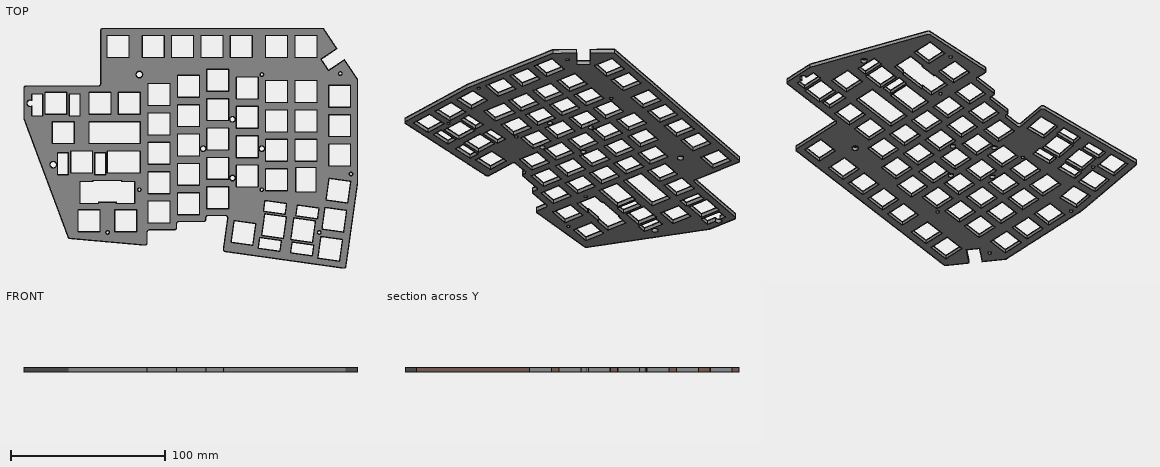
import cadquery as cq
import math


PLATE_WIDTH = 216.5
PLATE_DEPTH = 155.7
THICKNESS = 3.0
RIGHT_X = PLATE_WIDTH / 2
LEFT_X = -RIGHT_X
TOP_Y = PLATE_DEPTH / 2

PITCH = 19.0
CUTOUT = 14.0
HALF_CUTOUT = CUTOUT / 2

FINGER_X = 17.5
FINGER_COLUMNS = [
    (-2, -3.2, -2, 2),
    (-1, 2.2, -2, 2),
    (0, 6.0, -2, 2),
    (1, 1.0, -1, 2),
    (2, -1.3, -1, 2),
    (3, -1.3, 0, 2),
]
OUTER_COLUMN_X = 96.5
OUTER_COLUMN_Y = 14.7
OUTER_COLUMN_KEYS = 3

TALL_KEY_WIDTH = 13.0
TALL_KEY_HEIGHT = 15.8

TOP_ROW_X = 74.7
TOP_ROW_Y = 66.0
TOP_ROW_PITCHES = [0, 1, 2.2, 3.2, 4.2, 5.2, 6.4]

BLOCK_X = -39.8
BLOCK_Y = -8.9
BLOCK_KEYS = [
    (0, 2, 1),
    (1, 2, 1),
    (2.5, 2, 1),
    (0.5, 1, 2),
    (2.25, 1, 1),
    (0.1875, 0, 1.375),
    (1.625, 0, 1),
    (0.125, -2, 1),
    (1.375, -2, 1),
]
BLOCK_STABILIZED = [(2.5, 2), (1.625, 0)]

BAR_X = BLOCK_X - 0.75 * PITCH
BAR_Y = BLOCK_Y - PITCH
BAR_WIDTH = 35.3
BAR_CENTRE_WIDTH = 18.6
BAR_SIDE_GAP = 11.7
BAR_SIDE_DROP = 0.75

SLOT_WIDTH = 7.0
SLOT_SPREAD = 12.1
SLOT_DROP = 1.0

THUMB_X = 93.1
THUMB_Y = -46.3
THUMB_ANGLE = -8.0
THUMB_KEYS = [(0, 1), (0, 0), (0, -1), (-1, -0.5), (-2, -0.5), (-3, -0.875)]
THUMB_STABILIZED = [(-1, -0.5, 90), (-2, -0.5, -90)]
THUMB_LEFT = -68.6
THUMB_RIGHT = 11.7
THUMB_BOTTOM = -30.3

BOTTOM_MARGIN = 4.5
STEP_MARGIN = 0.6
CORNER_RADIUS = 1.5
SHELF_X = -58.5
SHELF_Y = 40.5
SLANT_TOP_Y = 19.3
BLOCK_CORNER = (-79.3, -58.5)
BLOCK_BOTTOM_Y = -63.0
BEVEL_TOP_X = 86.0
BEVEL_RIGHT_Y = 44.6

NOTCH_WIDTH = 8.7
NOTCH_DEPTH = 12.3
NOTCH_X = 97.2

SMALL_HOLE = 2.2
MEDIUM_HOLE = 3.5
LARGE_HOLE = 4.1
HOLE_UPPER_Y = 47.9
HOLE_LOWER_Y = -26.9
HOLE_LEFT_X = -33.3
DIAMOND_X = 27.0
DIAMOND_Y = -0.2
SMALL_HOLES = [
    (DIAMOND_X + PITCH, HOLE_UPPER_Y),
    (DIAMOND_X + PITCH, HOLE_LOWER_Y),
    (HOLE_LEFT_X, HOLE_LOWER_Y),
    (97.0, 48.5),
    (104.0, -16.7),
    (83.4, -54.5),
    (-54.0, -54.5),
]
MEDIUM_HOLES = [
    (DIAMOND_X + PITCH, DIAMOND_Y),
    (DIAMOND_X - PITCH, DIAMOND_Y),
    (DIAMOND_X, DIAMOND_Y + PITCH),
    (DIAMOND_X, DIAMOND_Y - PITCH),
]
LARGE_HOLES = [(HOLE_LEFT_X, HOLE_UPPER_Y), (-89.2, -10.6), (-104.2, 29.2)]


def turned(x, y, angle):
    """Rotate the vector (x, y) by an angle in degrees."""
    a = math.radians(angle)
    return x * math.cos(a) - y * math.sin(a), x * math.sin(a) + y * math.cos(a)


def thumb_point(x, y):
    """Map a point of the thumb cluster frame to the plate."""
    dx, dy = turned(x, y, THUMB_ANGLE)
    return THUMB_X + dx, THUMB_Y + dy


def window(x, y, width=CUTOUT, height=CUTOUT, angle=0.0):
    """Rectangular cutter through the plate, centred on (x, y)."""
    box = cq.Workplane("XY").box(width, height, THICKNESS, centered=(True, True, False))
    return box.rotate((0, 0, 0), (0, 0, 1), angle).translate((x, y, 0)).val()


def slot_pair(x, y, angle=0.0):
    """Two stabilizer slots beside the key at (x, y)."""
    slots = []
    for side in (-1, 1):
        dx, dy = turned(side * SLOT_SPREAD, -SLOT_DROP, angle)
        slots.append(window(x + dx, y + dy, SLOT_WIDTH, CUTOUT, angle))
    return slots


def finger_windows():
    windows = []
    for pitches, middle_y, lowest, highest in FINGER_COLUMNS:
        for row in range(lowest, highest + 1):
            windows.append(window(FINGER_X + pitches * PITCH, middle_y + row * PITCH))
    for row in range(OUTER_COLUMN_KEYS):
        windows.append(window(OUTER_COLUMN_X, OUTER_COLUMN_Y + (row - 1) * PITCH))
    pitches, middle_y, lowest, _ = FINGER_COLUMNS[-1]
    tall_x = FINGER_X + pitches * PITCH
    tall_y = middle_y + (lowest - 1) * PITCH
    windows.append(window(tall_x, tall_y, TALL_KEY_WIDTH, TALL_KEY_HEIGHT))
    for pitches in TOP_ROW_PITCHES:
        windows.append(window(TOP_ROW_X - pitches * PITCH, TOP_ROW_Y))
    return windows


def block_windows():
    windows = []
    for left, up, width in BLOCK_KEYS:
        cut_width = CUTOUT + (width - 1) * PITCH
        windows.append(window(BLOCK_X - left * PITCH, BLOCK_Y + up * PITCH, cut_width))
    for left, up in BLOCK_STABILIZED:
        windows += slot_pair(BLOCK_X - left * PITCH, BLOCK_Y + up * PITCH)
    return windows


def bar_windows():
    windows = [window(BAR_X, BAR_Y, BAR_CENTRE_WIDTH)]
    side_width = (BAR_WIDTH - BAR_SIDE_GAP) / 2
    for side in (-1, 1):
        side_x = BAR_X + side * (BAR_WIDTH - side_width) / 2
        windows.append(window(side_x, BAR_Y - BAR_SIDE_DROP, side_width))
    return windows


def thumb_windows():
    windows = []
    for right, up in THUMB_KEYS:
        x, y = thumb_point(right * PITCH, up * PITCH)
        windows.append(window(x, y, angle=THUMB_ANGLE))
    for right, up, turn in THUMB_STABILIZED:
        x, y = thumb_point(right * PITCH, up * PITCH)
        windows += slot_pair(x, y, THUMB_ANGLE + turn)
    return windows


def step_edge(column):
    """X of the step left of a finger column and Y of the plate edge below it."""
    pitches, middle_y, lowest, _ = FINGER_COLUMNS[column]
    x = FINGER_X + pitches * PITCH - HALF_CUTOUT - STEP_MARGIN
    y = middle_y + lowest * PITCH - HALF_CUTOUT - BOTTOM_MARGIN
    return x, y


def plate_blank():
    """Solid plate; the shelf and lower corners are rounded, the others stay sharp."""
    slope = math.tan(math.radians(THUMB_ANGLE))
    thumb_corner = thumb_point(THUMB_LEFT, THUMB_BOTTOM)
    right_corner = thumb_point(THUMB_RIGHT, THUMB_BOTTOM)
    right_break_y = right_corner[1] - (RIGHT_X - right_corner[0]) / slope
    first_x, first_y = step_edge(0)
    second_x, second_y = step_edge(1)
    third_x, third_y = step_edge(2)
    gap_corner = (thumb_corner[0] - (third_y - thumb_corner[1]) * slope, third_y)

    shelf_corners = [(LEFT_X, SHELF_Y), (SHELF_X, SHELF_Y), (SHELF_X, TOP_Y)]
    lower_corners = [
        right_corner,
        thumb_corner,
        gap_corner,
        (third_x, third_y),
        (third_x, second_y),
        (second_x, second_y),
        (second_x, first_y),
        (first_x, first_y),
        (first_x, BLOCK_BOTTOM_Y),
        BLOCK_CORNER,
    ]
    outline = (
        shelf_corners
        + [(BEVEL_TOP_X, TOP_Y), (RIGHT_X, BEVEL_RIGHT_Y), (RIGHT_X, right_break_y)]
        + lower_corners
        + [(LEFT_X, SLANT_TOP_Y)]
    )
    blank = cq.Workplane("XY").polyline(outline).close().extrude(THICKNESS)
    for x, y in shelf_corners + lower_corners:
        corner = cq.selectors.NearestToPointSelector((x, y, THICKNESS / 2))
        blank = blank.edges("|Z").edges(corner).fillet(CORNER_RADIUS)
    return blank


def notch():
    """Cutter for the cable notch; it reaches as far outside the bevel as inside."""
    drop = TOP_Y - BEVEL_RIGHT_Y
    run = RIGHT_X - BEVEL_TOP_X
    mouth_y = TOP_Y - (NOTCH_X - BEVEL_TOP_X) * drop / run
    angle = math.degrees(math.atan2(run, drop))
    return window(NOTCH_X, mouth_y, 2 * NOTCH_DEPTH, NOTCH_WIDTH, angle)


def round_holes():
    drills = []
    for diameter, centres in (
        (SMALL_HOLE, SMALL_HOLES),
        (MEDIUM_HOLE, MEDIUM_HOLES),
        (LARGE_HOLE, LARGE_HOLES),
    ):
        drilled = cq.Workplane("XY").pushPoints(centres).circle(diameter / 2).extrude(THICKNESS)
        drills += drilled.vals()
    return drills


cutters = finger_windows() + block_windows() + bar_windows() + thumb_windows() + round_holes()
cutters.append(notch())
result = cq.Workplane("XY").newObject([plate_blank().val().cut(*cutters)])